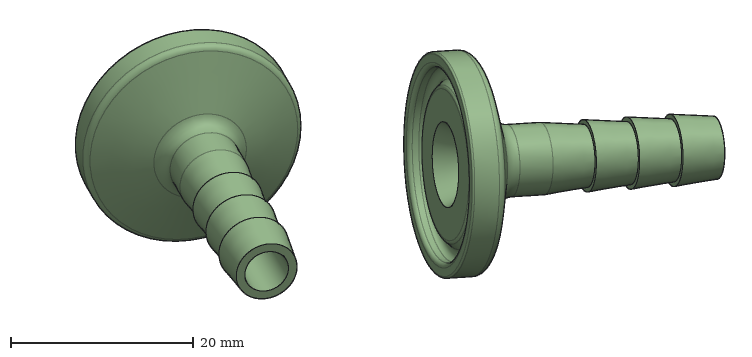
import cadquery as cq
import math

total_length = 32.0
flange_radius = 12.495
rim_round = 0.22
flange_straight_end = 3.07
cone_slope = math.radians(20)
neck_radius = 4.0
neck_fillet = 2.0
shoulder_round = 0.9

barb_count = 4
barbed_length = 20.0
barb_length = barbed_length / barb_count
barb_tip_radius = 3.5

bore_radius = 2.5
countersink_radius = 4.75
countersink_depth = 4.95

face_recess = 0.85
groove_wall_radius = 10.8
groove_arc_radius = 0.8
groove_wall_angle = math.radians(50)
groove_mouth_round = 0.5
face_edge_radius = 8.4
face_edge_round = 0.5


def arc_point(center_x, center_r, radius, angle):
    """Point on an arc, with the angle measured from +X towards larger radius."""
    return (center_x + radius * math.cos(angle), center_r + radius * math.sin(angle))


def make_body():
    shoulder_center = (flange_straight_end, flange_radius - shoulder_round)
    shoulder_mid = arc_point(*shoulder_center, shoulder_round, (math.pi / 2 + cone_slope) / 2)
    cone_start = arc_point(*shoulder_center, shoulder_round, cone_slope)
    neck_center_r = neck_radius + neck_fillet
    cone_end_r = neck_center_r - neck_fillet * math.sin(cone_slope)
    cone_end_x = cone_start[0] + (cone_start[1] - cone_end_r) * math.tan(cone_slope)
    neck_center_x = cone_end_x + neck_fillet * math.cos(cone_slope)
    neck_mid = arc_point(neck_center_x, neck_center_r, -neck_fillet, (math.pi / 2 + cone_slope) / 2)

    outline = (
        cq.Workplane("XY")
        .lineTo(0, flange_radius - rim_round)
        .radiusArc((rim_round, flange_radius), rim_round)
        .lineTo(flange_straight_end, flange_radius)
        .threePointArc(shoulder_mid, cone_start)
        .lineTo(cone_end_x, cone_end_r)
        .threePointArc(neck_mid, (neck_center_x, neck_radius))
    )
    barbs_start = total_length - barbed_length
    for index in range(barb_count):
        barb_start = barbs_start + index * barb_length
        outline = outline.lineTo(barb_start, neck_radius)
        outline = outline.lineTo(barb_start + barb_length, barb_tip_radius)
    return outline.lineTo(total_length, 0).close().revolve(360, (0, 0, 0), (1, 0, 0))


def make_face_recess():
    edge_center = (face_recess + face_edge_round, face_edge_radius)
    edge_mid = arc_point(*edge_center, face_edge_round, math.pi - groove_wall_angle / 2)
    wall_top = arc_point(*edge_center, face_edge_round, math.pi - groove_wall_angle)
    groove_center_r = groove_wall_radius - groove_arc_radius
    wall_bottom_r = groove_center_r - groove_arc_radius * math.sin(groove_wall_angle)
    wall_bottom_x = wall_top[0] + (wall_bottom_r - wall_top[1]) * math.tan(groove_wall_angle)
    groove_center_x = wall_bottom_x - groove_arc_radius * math.cos(groove_wall_angle)
    groove_bottom = (groove_center_x + groove_arc_radius, groove_center_r)

    outline = (
        cq.Workplane("XY")
        .lineTo(face_recess, 0)
        .lineTo(face_recess, face_edge_radius)
        .threePointArc(edge_mid, wall_top)
        .lineTo(wall_bottom_x, wall_bottom_r)
        .threePointArc(groove_bottom, (groove_center_x, groove_wall_radius))
        .lineTo(groove_mouth_round, groove_wall_radius)
        .radiusArc((0, groove_wall_radius + groove_mouth_round), groove_mouth_round)
        .close()
    )
    return outline.revolve(360, (0, 0, 0), (1, 0, 0))


def make_bore():
    countersink_end = face_recess + countersink_depth
    outline = (
        cq.Workplane("XY")
        .moveTo(face_recess, 0)
        .lineTo(face_recess, countersink_radius)
        .lineTo(countersink_end, bore_radius)
        .lineTo(total_length, bore_radius)
        .lineTo(total_length, 0)
        .close()
    )
    return outline.revolve(360, (0, 0, 0), (1, 0, 0))


result = make_body().cut(make_face_recess()).cut(make_bore())